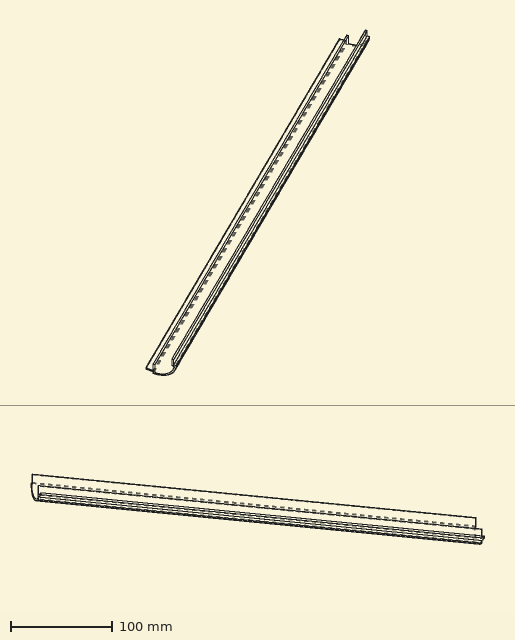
import cadquery as cq
import math

section_size = 33.0
length = 459.75
outer_radius = 25.0
wall = 2.0
flange_offset = 2.7
lip_rise = 10.0
bend_radius = 1.0

half = section_size / 2
axis_x = half - outer_radius
axis_z = outer_radius - half
inner_radius = outer_radius - wall
flange_near = half - flange_offset
flange_far = flange_near - wall
lip_face_x = axis_x + wall
ledge_face_z = axis_z - wall

mid_wall = half - wall / 2

inside_crossing = math.sqrt(inner_radius**2 - wall**2)


def bar(x_min, x_max, z_min, z_max):
    """Rectangular bar over the full length, given by the limits of its section."""
    size_x = x_max - x_min
    size_z = z_max - z_min
    corner = (x_min, -length / 2, z_min)
    return cq.Workplane("XY").box(size_x, length, size_z, centered=False).translate(corner)


def quarter_shell():
    """Quarter tube on the +X, -Z side of its axis."""
    tube = (
        cq.Workplane("XZ", origin=(axis_x, length / 2, axis_z))
        .circle(outer_radius)
        .circle(inner_radius)
        .extrude(length)
    )
    return tube.intersect(bar(axis_x, half, -half, axis_z))


def lower_edge():
    """Upright lip on the lower edge of the shell, with a flange pointing to -X."""
    lip = bar(axis_x, lip_face_x, -mid_wall, lip_rise - flange_far)
    flange = bar(-half, axis_x, -flange_near, -flange_far)
    return lip.union(flange)


def upper_edge():
    """Short ledge on the upper edge of the shell, carrying an upright flange."""
    ledge = bar(flange_far, mid_wall, ledge_face_z, axis_z)
    flange = bar(flange_far, flange_near, axis_z, half)
    return ledge.union(flange)


def round_lengthwise_edge(body, x, z):
    """Round the edge that runs along Y through (x, z)."""
    edge = body.edges("|Y").edges(cq.selectors.NearestToPointSelector((x, 0, z)))
    return edge.fillet(bend_radius)


result = quarter_shell().union(lower_edge()).union(upper_edge()).clean()
result = round_lengthwise_edge(result, lip_face_x, axis_z - inside_crossing)
result = round_lengthwise_edge(result, axis_x + inside_crossing, ledge_face_z)
result = round_lengthwise_edge(result, flange_far, ledge_face_z)